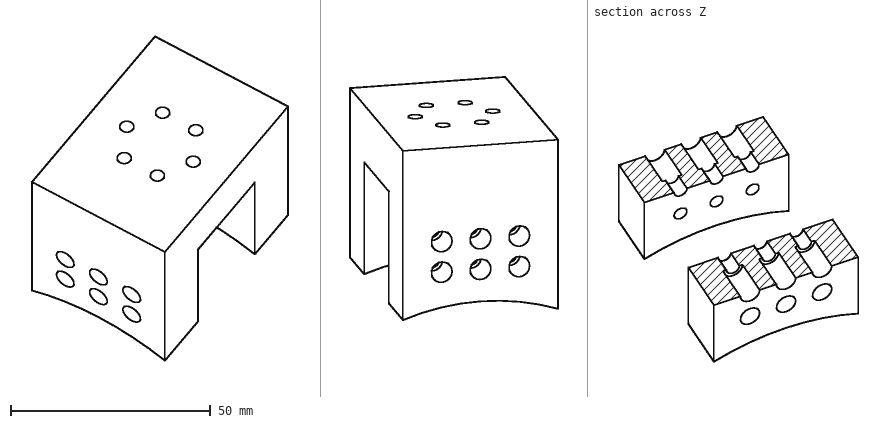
import cadquery as cq
import math

width = 40.0
length = 55.5
height = 44.3

wall = 15.0
roof = 15.0
slot_width = length - 2 * wall
underside_radius = 60.0

hole_diameter = 3.5
counterbore_diameter = 5.3
counterbore_depth = 10.0
hole_pitch_x = 10.0
hole_rows_z = (11.8, 19.8)
bolt_circle_radius = 10.0
bolt_count = 6


def slotted_block():
    block = cq.Workplane("XY").box(width, length, height, centered=(True, True, False))
    slot = cq.Workplane("XY").box(width, slot_width, height - roof, centered=(True, True, False))
    return block.cut(slot)


def underside_cylinder():
    """Cylinder along Y whose surface passes through the lower long edges."""
    axis_z = -math.sqrt(underside_radius**2 - (width / 2) ** 2)
    return (
        cq.Workplane("XZ")
        .center(0, axis_z)
        .circle(underside_radius)
        .extrude(length / 2, both=True)
    )


def wall_holes():
    """Through holes in both walls, counterbored from the outer faces."""
    points = [(i * hole_pitch_x, z) for i in (-1, 0, 1) for z in hole_rows_z]
    through = (
        cq.Workplane("XZ")
        .pushPoints(points)
        .circle(hole_diameter / 2)
        .extrude(length / 2, both=True)
    )
    front_bores = (
        cq.Workplane("XZ", origin=(0, -length / 2, 0))
        .pushPoints(points)
        .circle(counterbore_diameter / 2)
        .extrude(-counterbore_depth)
    )
    return through.union(front_bores).union(front_bores.mirror("XZ"))


def roof_holes():
    """Ring of through holes in the roof."""
    return (
        cq.Workplane("XY", origin=(0, 0, height - roof))
        .polarArray(bolt_circle_radius, 0, 360, bolt_count)
        .circle(hole_diameter / 2)
        .extrude(roof)
    )


result = slotted_block().cut(underside_cylinder()).cut(wall_holes()).cut(roof_holes())